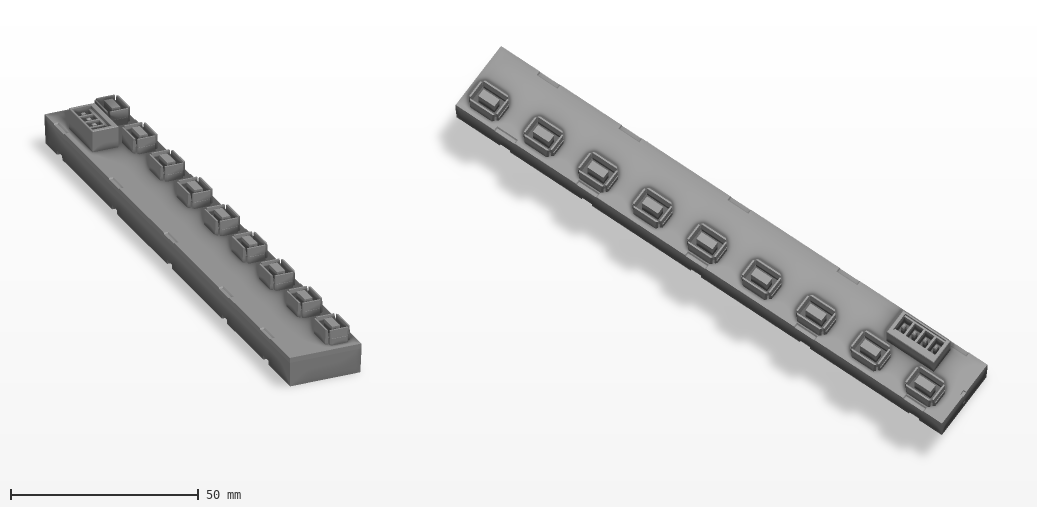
import cadquery as cq

length = 159.0
width = 21.0
base_height = 7.2
board_thickness = 1.5
board_top = base_height + board_thickness
mid_x = length / 2
mid_y = width / 2
draft = 2.0

socket_count = 9
socket_pitch = 17.8
first_socket_x = 9.4
socket_y = 15.6
socket_top = 12.9
spring_bend_z = 10.5
leg_thickness = 0.6
spring_lean = 0.2
head_foot_thickness = 1.0
head_tip_thickness = 0.5
long_spring_width = 8.0
long_spring_reach = 3.7
short_spring_width = 5.2
short_spring_reach = 5.0
short_spring_step = 0.2
corner_chamfer = 1.5
core_length = 5.2
core_width = 2.4

clip_pitch = 2 * socket_pitch
regular_clip_count = 4
last_clip_step = 26.7
clip_xs = [first_socket_x + i * clip_pitch for i in range(regular_clip_count)]
clip_xs.append(clip_xs[-1] + last_clip_step)
seat_depth = 0.3
seat_floor_length = 6.2
seat_floor_width = 1.1
slot_length = 3.3
slot_height = 1.5
slot_chamfer = 0.5
slot_depth = 1.3

end_hole_diameter = 1.3
end_hole_z = 3.2
end_hole_depth = 1.6
notch_length = 1.0
notch_width = 1.5
notch_depth = 0.5

pin_count = 4
pin_pitch = 3.5
pin_length = 1.0
pin_width = 1.3
pin_y = 5.5
pin_height = 4.1
pin_chamfer = 0.3
connector_x = 10.5
connector_y = 2.4
connector_length = 15.5
connector_width = 7.6
connector_chamfer = 0.2
connector_top = 14.8
connector_floor = 9.7
cell_length = 2.9
cell_front_wall = 1.0
cell_width = 4.3
mouth_front_wall = 0.5
mouth_width = 5.5
mouth_depth = 1.0


def block(x, y, z, size_x, size_y, size_z):
    """Box with its lower front left corner at (x, y, z)."""
    return cq.Workplane("XY").box(size_x, size_y, size_z, centered=False).translate((x, y, z))


def tapered_slab(height):
    """Slab from the parting line up, or down if height is negative, narrowing as it goes."""
    outline = cq.Workplane("XY", origin=(mid_x, mid_y, base_height)).rect(length, width)
    return outline.extrude(height, taper=draft)


def spring(reach, spring_width, bend_step):
    """Spring on the -Y side of a socket centred on the Z axis, thicker above its bend."""
    outer = -reach
    head_outer = outer + bend_step
    points = [
        (outer, board_top),
        (outer + leg_thickness, board_top),
        (outer + leg_thickness, spring_bend_z),
        (head_outer + head_foot_thickness, spring_bend_z),
        (head_outer + spring_lean + head_tip_thickness, socket_top),
        (head_outer + spring_lean, socket_top),
    ]
    if bend_step > 0:
        points += [(head_outer, spring_bend_z), (outer, spring_bend_z)]
    return cq.Workplane("YZ").polyline(points).close().extrude(spring_width / 2, both=True)


def make_socket():
    """Core block surrounded by four separate springs, centred on the Z axis."""
    socket_height = socket_top - board_top
    springs = cq.Workplane("XY")
    for angle in (0, 180):
        long_spring = spring(long_spring_reach, long_spring_width, 0)
        short_spring = spring(short_spring_reach, short_spring_width, short_spring_step)
        springs = springs.add(long_spring.rotate((0, 0, 0), (0, 0, 1), angle))
        springs = springs.add(short_spring.rotate((0, 0, 0), (0, 0, 1), angle + 90))
    envelope = (
        cq.Workplane("XY", origin=(0, 0, board_top))
        .rect(2 * short_spring_reach, 2 * long_spring_reach)
        .extrude(socket_height)
        .edges("|Z")
        .chamfer(corner_chamfer)
    )
    core = block(-core_length / 2, -core_width / 2, board_top, core_length, core_width, socket_height)
    return springs.combine().intersect(envelope).union(core)


def clip_seat(x):
    """Shallow recess in the front top edge of the board, with 45 degree walls."""
    floor_z = board_top - seat_depth
    return (
        cq.Workplane("XY", origin=(x, 0, floor_z))
        .rect(seat_floor_length, 2 * seat_floor_width)
        .workplane(offset=seat_depth)
        .rect(seat_floor_length + 2 * seat_depth, 2 * (seat_floor_width + seat_depth))
        .loft(ruled=True)
    )


def clip_slot(x):
    """Wedge-shaped slot in the front bottom edge of the base."""
    return (
        cq.Workplane("YZ", origin=(x, 0, 0))
        .moveTo(0, 0)
        .lineTo(0, slot_height)
        .lineTo(slot_chamfer, slot_height - slot_chamfer)
        .lineTo(slot_depth, 0)
        .close()
        .extrude(slot_length / 2, both=True)
    )


def make_connector():
    """Open-topped housing with one cell and one pin per contact."""
    housing = block(
        connector_x, connector_y, board_top,
        connector_length, connector_width, connector_top - board_top,
    ).faces(">Z").edges().chamfer(connector_chamfer)
    cells_length = (pin_count - 1) * pin_pitch + cell_length
    cells_x = connector_x + (connector_length - cells_length) / 2
    mouth_y = connector_y + mouth_front_wall
    cell_y = connector_y + cell_front_wall
    housing = housing.cut(
        block(cells_x, mouth_y, connector_top - mouth_depth, cells_length, mouth_width, mouth_depth)
    )
    for i in range(pin_count):
        cell_x = cells_x + i * pin_pitch
        pin_x = cell_x + (cell_length - pin_length) / 2
        cell = block(
            cell_x, cell_y, connector_floor,
            cell_length, cell_width, connector_top - connector_floor,
        )
        pin = block(pin_x, pin_y - pin_width / 2, connector_floor, pin_length, pin_width, pin_height)
        pin = pin.faces(">Z").edges().chamfer(pin_chamfer)
        housing = housing.cut(cell).union(pin)
    return housing


body = tapered_slab(-base_height).union(tapered_slab(board_thickness))

for clip_x in clip_xs:
    for clip_cut in (clip_seat(clip_x), clip_slot(clip_x)):
        rear_cut = clip_cut.mirror("XZ", (0, mid_y, 0))
        body = body.cut(clip_cut).cut(rear_cut)

end_hole = (
    cq.Workplane("YZ", origin=(0, mid_y, end_hole_z))
    .circle(end_hole_diameter / 2)
    .extrude(end_hole_depth)
)
notch = block(0, mid_y - notch_width / 2, board_top - notch_depth, notch_length, notch_width, notch_depth)
body = body.cut(end_hole).cut(notch)

socket_shape = make_socket()
for socket_index in range(socket_count):
    socket_x = first_socket_x + socket_index * socket_pitch
    body = body.union(socket_shape.translate((socket_x, socket_y, 0)))

result = body.union(make_connector())